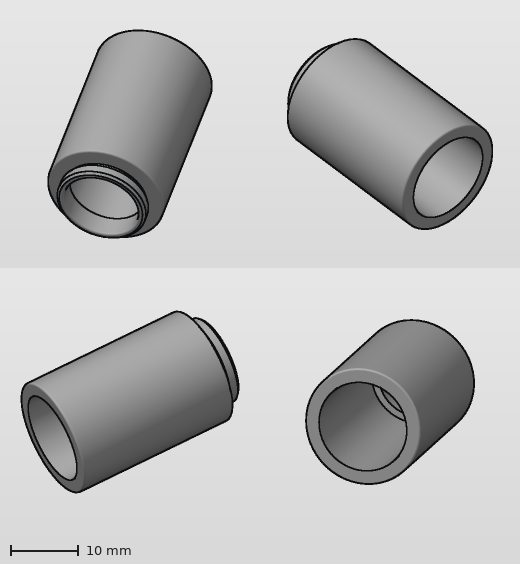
import cadquery as cq

TOTAL_LENGTH = 28.3
TUBE_DIAMETER = 17.8
EDGE_FILLET = 0.3

NOSE_LENGTH = 2.5
THREAD_DIAMETER = 13.58
THREAD_CHAMFER = 0.4
UNDERCUT_DIAMETER = 12.7
UNDERCUT_LENGTH = 0.8

NOSE_BORE_DIAMETER = 11.4
NOSE_BORE_LENGTH = 3.3
TUBE_BORE_DIAMETER = THREAD_DIAMETER

NOSE_FRONT = -TOTAL_LENGTH / 2
SHOULDER = NOSE_FRONT + NOSE_LENGTH
THREAD_BACK = SHOULDER - UNDERCUT_LENGTH
SEAT = NOSE_FRONT + NOSE_BORE_LENGTH
TUBE_BACK = TOTAL_LENGTH / 2


def cylinder(diameter, front, back):
    """Cylinder on the Y axis between two stations."""
    base = cq.Workplane("XZ", origin=(0, front, 0)).circle(diameter / 2)
    return base.extrude(front - back)


def make_tube():
    """Plain outer barrel with both rims rounded."""
    return cylinder(TUBE_DIAMETER, SHOULDER, TUBE_BACK).edges("%CIRCLE").fillet(EDGE_FILLET)


def make_nose():
    """Thread band with a chamfered front rim, joined to the tube by the undercut."""
    undercut = cylinder(UNDERCUT_DIAMETER, THREAD_BACK, SHOULDER)
    thread = cylinder(THREAD_DIAMETER, NOSE_FRONT, THREAD_BACK)
    return thread.faces("<Y").chamfer(THREAD_CHAMFER).union(undercut)


def make_bore():
    """Stepped through bore, widening at the seat."""
    nose_bore = cylinder(NOSE_BORE_DIAMETER, NOSE_FRONT, SEAT)
    tube_bore = cylinder(TUBE_BORE_DIAMETER, SEAT, TUBE_BACK)
    return nose_bore.union(tube_bore)


def make_lens_tube():
    """Barrel and nose in one piece, bored through, with a rounded bore mouth."""
    body = make_tube().union(make_nose()).cut(make_bore())
    smallest_circle = cq.selectors.RadiusNthSelector(0)
    return body.faces("<Y").edges(smallest_circle).fillet(EDGE_FILLET)


lens_tube = make_lens_tube()

result = cq.Compound.makeCompound([lens_tube.val()])